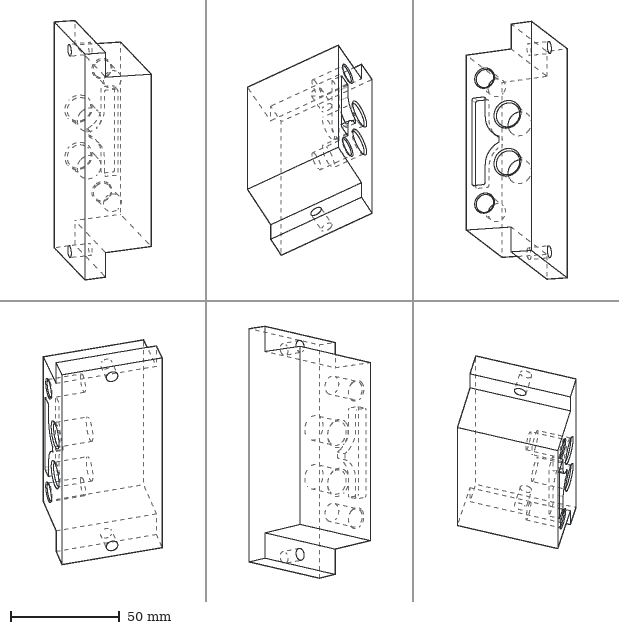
import cadquery as cq
import math

WIDTH = 48.0
DEPTH = 32.0
HEIGHT = 110.0
FLANGE_THICKNESS = 10.0
BODY_HEIGHT = 85.5
DRAFT = math.radians(2.0)

MOUNT_DIAMETER = 5.5
MOUNT_PITCH = 98.0

MAIN_PORT_DIAMETER = 11.4
MAIN_PORT_PITCH = 23.0
MAIN_PORT_FROM_BACK = 20.2
PILOT_PORT_DIAMETER = 8.6
PILOT_PORT_PITCH = 60.0
PILOT_PORT_FROM_BACK = 9.0
PORT_DEPTH = 16.5
MAIN_PORT_CHAMFER = 0.9
PILOT_PORT_CHAMFER = 0.5

POCKET_DEPTH = 5.0
POCKET_LENGTH = 42.0
POCKET_WIDTH = 6.5
POCKET_FROM_BACK = 2.9
POCKET_TIP_FROM_BACK = 16.1
POCKET_CORNER_RADIUS = 1.0

FRONT_Y = -DEPTH / 2
BACK_Y = DEPTH / 2
SIDE_X = -WIDTH / 2
FLANGE_BACK_Y = FRONT_Y + FLANGE_THICKNESS


def make_block():
    """Flange and body as one drafted profile in YZ, extruded across the width."""
    flange_half = HEIGHT / 2
    flange_back_half = flange_half - FLANGE_THICKNESS * math.tan(DRAFT)
    body_half = BODY_HEIGHT / 2
    body_back_half = body_half - (BACK_Y - FLANGE_BACK_Y) * math.tan(DRAFT)
    upper = [
        (FRONT_Y, flange_half),
        (FLANGE_BACK_Y, flange_back_half),
        (FLANGE_BACK_Y, body_half),
        (BACK_Y, body_back_half),
    ]
    lower = [(y, -z) for y, z in reversed(upper)]
    return cq.Workplane("YZ").polyline(upper + lower).close().extrude(WIDTH / 2, both=True)


def make_mounting_holes():
    """Pair of plain holes along Y through the ends of the flange."""
    return (
        cq.Workplane("XZ", origin=(0, FRONT_Y, 0))
        .pushPoints([(0, MOUNT_PITCH / 2), (0, -MOUNT_PITCH / 2)])
        .circle(MOUNT_DIAMETER / 2)
        .extrude(-FLANGE_THICKNESS)
    )


def make_port_pair(diameter, pitch, from_back, chamfer):
    """Two blind ports with chamfered mouths, symmetric about Z = 0."""
    centres = [(BACK_Y - from_back, pitch / 2), (BACK_Y - from_back, -pitch / 2)]
    face = cq.Workplane("YZ", origin=(SIDE_X, 0, 0)).pushPoints(centres)
    bores = face.circle(diameter / 2).extrude(PORT_DEPTH)
    mouths = face.circle(diameter / 2 + chamfer).extrude(chamfer, taper=45)
    return bores.union(mouths)


def make_pocket():
    """Long pocket with a central point whose flanks are concentric with the main ports."""
    back_y = BACK_Y - POCKET_FROM_BACK
    inner_y = back_y - POCKET_WIDTH
    tip_y = BACK_Y - POCKET_TIP_FROM_BACK
    port_y = BACK_Y - MAIN_PORT_FROM_BACK
    port_z = MAIN_PORT_PITCH / 2
    flank_radius = inner_y - port_y
    tip_angle = math.acos((tip_y - port_y) / flank_radius)
    tip_z = port_z - flank_radius * math.sin(tip_angle)
    mid_y = port_y + flank_radius * math.cos(tip_angle / 2)
    mid_z = port_z - flank_radius * math.sin(tip_angle / 2)

    centre_y = (back_y + inner_y) / 2
    slot = (
        cq.Workplane("YZ", origin=(SIDE_X, centre_y, 0))
        .rect(POCKET_WIDTH, POCKET_LENGTH)
        .extrude(POCKET_DEPTH)
        .edges("|X")
        .fillet(POCKET_CORNER_RADIUS)
    )
    point = (
        cq.Workplane("YZ", origin=(SIDE_X, 0, 0))
        .moveTo(centre_y, port_z)
        .lineTo(inner_y, port_z)
        .threePointArc((mid_y, mid_z), (tip_y, tip_z))
        .lineTo(tip_y, -tip_z)
        .threePointArc((mid_y, -mid_z), (inner_y, -port_z))
        .lineTo(centre_y, -port_z)
        .close()
        .extrude(POCKET_DEPTH)
    )
    return slot.union(point)


main_ports = make_port_pair(
    MAIN_PORT_DIAMETER, MAIN_PORT_PITCH, MAIN_PORT_FROM_BACK, MAIN_PORT_CHAMFER
)
pilot_ports = make_port_pair(
    PILOT_PORT_DIAMETER, PILOT_PORT_PITCH, PILOT_PORT_FROM_BACK, PILOT_PORT_CHAMFER
)

result = (
    make_block()
    .cut(make_mounting_holes())
    .cut(main_ports)
    .cut(pilot_ports)
    .cut(make_pocket())
)